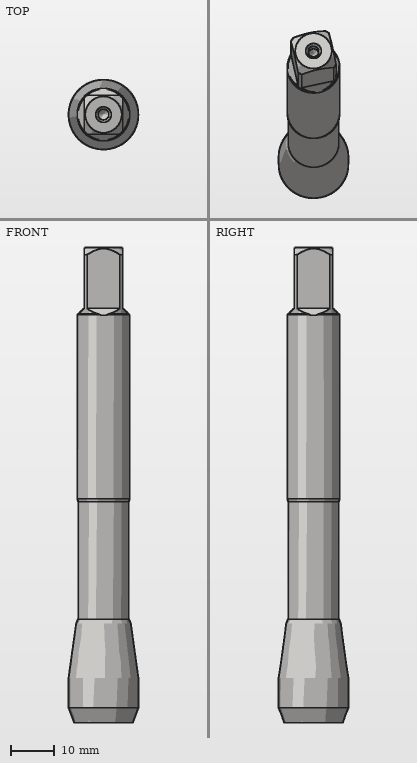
import cadquery as cq

total_length = 110.0

head_diameter = 16.21
tip_diameter = 13.6
lead_length = 3.5
taper_start = 10.4
taper_end_diameter = 12.7
head_length = 24.0
head_bevel_length = 1.0

neck_diameter = 11.79
shank_diameter = 12.19
neck_end = 51.2
step_bevel_length = 0.6
shoulder_height = 94.4

square_width = 9.0
square_length = 14.1
corner_diameter = neck_diameter
end_face_diameter = 8.4
flat_count = 4

hole_diameter = 2.5
countersink_diameter = 3.6
hole_depth = 3.0
drill_point_depth = hole_diameter / 2
countersink_depth = (countersink_diameter - hole_diameter) / 2


def revolve_profile(points):
    """Turn a closed (radius, height) outline around the Z axis."""
    return cq.Workplane("XZ").polyline(points).close().revolve(360, (0, 0, 0), (0, 1, 0))


def make_head():
    """Round head: conical lead, cylinder, long taper and a bevel down to the neck."""
    return revolve_profile([
        (0, 0),
        (tip_diameter / 2, 0),
        (head_diameter / 2, lead_length),
        (head_diameter / 2, taper_start),
        (taper_end_diameter / 2, head_length - head_bevel_length),
        (neck_diameter / 2, head_length),
        (0, head_length),
    ])


def make_turned_shank():
    """Round shank: neck, thicker guide, 45-degree shoulder and bevelled end."""
    shoulder_bevel = (shank_diameter - corner_diameter) / 2
    end_bevel = (corner_diameter - end_face_diameter) / 2
    return revolve_profile([
        (0, head_length),
        (neck_diameter / 2, head_length),
        (neck_diameter / 2, neck_end),
        (shank_diameter / 2, neck_end + step_bevel_length),
        (shank_diameter / 2, shoulder_height),
        (corner_diameter / 2, shoulder_height + shoulder_bevel),
        (corner_diameter / 2, total_length - end_bevel),
        (end_face_diameter / 2, total_length),
        (0, total_length),
    ])


def make_flat_cutter():
    """Cutter for the flat on the +X side; its lower end runs out at 45 degrees."""
    inner = square_width / 2
    outer = shank_diameter
    flat_bottom = total_length - square_length
    return (
        cq.Workplane("XZ")
        .polyline([
            (inner, total_length),
            (inner, flat_bottom),
            (outer, flat_bottom - (outer - inner)),
            (outer, total_length),
        ])
        .close()
        .extrude(shank_diameter, both=True)
    )


def make_centre_hole():
    """Countersunk blind hole with a conical drill point."""
    hole_bottom = total_length - hole_depth
    return revolve_profile([
        (0, total_length),
        (countersink_diameter / 2, total_length),
        (hole_diameter / 2, total_length - countersink_depth),
        (hole_diameter / 2, hole_bottom),
        (0, hole_bottom - drill_point_depth),
    ])


def make_shank():
    """Turned shank with a square drive and a centre hole."""
    body = make_turned_shank()
    flat_cutter = make_flat_cutter()
    for side in range(flat_count):
        angle = side * 360 / flat_count
        body = body.cut(flat_cutter.rotate((0, 0, 0), (0, 0, 1), angle))
    return body.cut(make_centre_hole()).solids()


head = make_head()
shank = make_shank()

result = cq.Compound.makeCompound([head.val(), shank.val()])